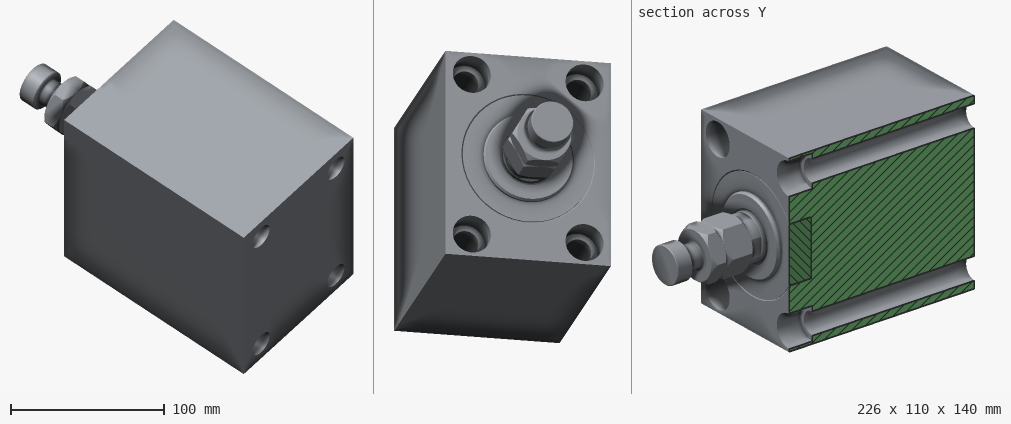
import cadquery as cq
import math


housing_length = 153.0
housing_width = 110.0
housing_height = 140.0
bolt_spacing_y = 75.0
bolt_spacing_z = 110.0
bolt_hole_diameter = 17.5
counterbore_diameter = 25.3
counterbore_depth = 19.2

gland_diameter = 87.0
gland_depth = 18.0
recess_chamfer = 1.0
collar_diameter = 60.1
collar_height = 3.5
collar_bevel_axial = 1.5
collar_bevel_radial = 1.1
wiper_diameter = 38.9
wiper_depth = 1.1

rod_diameter = 36.0
rod_shoulder = 6.0
wrench_diameter = 35.0
wrench_flats = 32.0
wrench_length = 8.1
rod_end = -(rod_shoulder + wrench_length)

hex_flats = 36.0
hex_face_diameter = 35.7
long_hex_length = 21.7
short_hex_length = 12.5
neck_diameter = 18.3
neck_length = 12.2
neck_fillet = 1.1
head_diameter = 28.0
head_length = 12.5
head_front_chamfer = 0.5
head_back_chamfer = 0.7


def x_cylinder(diameter, x_start, length):
    """Solid cylinder on the rod axis, running from x_start toward +X."""
    return cq.Workplane("YZ", origin=(x_start, 0, 0)).circle(diameter / 2).extrude(length)


def make_housing():
    block = cq.Workplane("YZ").rect(housing_width, housing_height).extrude(housing_length)
    bolt_places = cq.Workplane("YZ").rect(bolt_spacing_y, bolt_spacing_z, forConstruction=True).vertices()
    bolt_holes = bolt_places.circle(bolt_hole_diameter / 2).extrude(housing_length)
    counterbores = bolt_places.circle(counterbore_diameter / 2).extrude(counterbore_depth)
    recess = x_cylinder(gland_diameter, 0, gland_depth)
    block = block.cut(bolt_holes).cut(counterbores).cut(recess)
    recess_rim = cq.selectors.RadiusNthSelector(-1)
    return block.faces("<X").edges("%CIRCLE").edges(recess_rim).chamfer(recess_chamfer)


def make_gland():
    disc = x_cylinder(gland_diameter, 0, gland_depth)
    collar = x_cylinder(collar_diameter, -collar_height, collar_height)
    collar = collar.faces("<X").edges().chamfer(collar_bevel_axial, collar_bevel_radial)
    bore = x_cylinder(rod_diameter, -collar_height, collar_height + gland_depth)
    wiper_recess = x_cylinder(wiper_diameter, -collar_height, wiper_depth)
    return disc.union(collar).cut(bore).cut(wiper_recess)


def make_rod():
    shaft = x_cylinder(rod_diameter, -rod_shoulder, rod_shoulder + gland_depth)
    shaft = shaft.faces("<X").chamfer((rod_diameter - wrench_diameter) / 2)
    square = cq.Workplane("YZ", origin=(rod_end, 0, 0)).rect(wrench_flats, wrench_flats).extrude(wrench_length)
    wrench_end = x_cylinder(wrench_diameter, rod_end, wrench_length).intersect(square)
    return shaft.union(wrench_end)


def make_hex(x_start, length):
    """Hexagon with a corner on each Y side, its corners chamfered at both ends."""
    corner_diameter = hex_flats / math.cos(math.pi / 6)
    corner_chamfer = (corner_diameter - hex_face_diameter) / 2
    prism = cq.Workplane("YZ", origin=(x_start, 0, 0)).polygon(6, corner_diameter).extrude(length)
    envelope = x_cylinder(corner_diameter, x_start, length)
    envelope = envelope.faces("<X or >X").chamfer(corner_chamfer)
    return prism.intersect(envelope)


def make_coupling():
    long_hex_start = rod_end - long_hex_length
    short_hex_start = long_hex_start - short_hex_length
    neck_start = short_hex_start - neck_length
    head_start = neck_start - head_length
    hexes = make_hex(long_hex_start, long_hex_length).union(make_hex(short_hex_start, short_hex_length))
    head = x_cylinder(head_diameter, head_start, head_length)
    head = head.faces("<X").chamfer(head_front_chamfer)
    head = head.faces(">X").chamfer(head_back_chamfer)
    neck = x_cylinder(neck_diameter, neck_start, neck_length)
    coupling = hexes.union(neck).union(head)
    neck_ends = cq.selectors.RadiusNthSelector(0)
    return coupling.edges("%CIRCLE").edges(neck_ends).fillet(neck_fillet)


housing = make_housing()
gland = make_gland()
rod = make_rod()
coupling = make_coupling()

result = cq.Compound.makeCompound([housing.val(), gland.val(), rod.val(), coupling.val()])